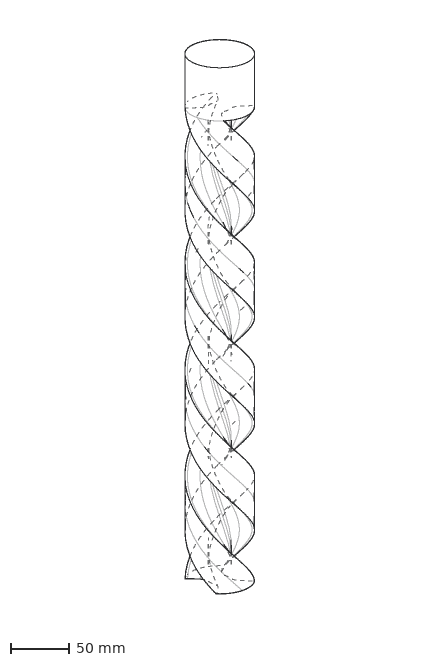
import math

import cadquery as cq

diameter = 60.0
shank_length = 50.0
helix_pitch = 200.0
twist_angle = 800.0
core_radius = 10.0
flute_fillet = 9.3
wall_angle = 45.0
lip_radius = 27.8
lip_overhang = 0.7

outer_radius = diameter / 2
flute_length = helix_pitch * twist_angle / 360
lip_angle = wall_angle + math.degrees(math.asin(lip_overhang / outer_radius))

fillet_centre_radius = core_radius + flute_fillet
wall_radius = math.sqrt(fillet_centre_radius**2 - flute_fillet**2)
core_angle = wall_angle + math.degrees(math.asin(flute_fillet / fillet_centre_radius))


def polar(radius, angle):
    """Point at the given radius and angle (degrees from +X)."""
    angle_rad = math.radians(angle)
    return (radius * math.cos(angle_rad), radius * math.sin(angle_rad))


def fillet_middle_point():
    """Middle of the fillet arc of the flute wall in the first quadrant."""
    centre_x, centre_y = polar(fillet_centre_radius, core_angle)
    toward_wall = wall_angle - 90
    toward_core = core_angle - 180
    offset_x, offset_y = polar(flute_fillet, (toward_wall + toward_core) / 2)
    return (centre_x + offset_x, centre_y + offset_y)


def mirror(points, sign_x, sign_y):
    """First-quadrant points moved into the quadrant given by the two signs."""
    return [(sign_x * x, sign_y * y) for x, y in points]


quadrant_points = [
    polar(outer_radius, 0),
    polar(outer_radius, lip_angle / 2),
    polar(outer_radius, lip_angle),
    polar(lip_radius, wall_angle),
    polar(wall_radius, wall_angle),
    fillet_middle_point(),
    polar(core_radius, core_angle),
    polar(core_radius, (core_angle + 90) / 2),
    polar(core_radius, 90),
]


def add_land_to_flute(outline, points):
    """Continue the outline from the middle of a land to the bottom of the next flute."""
    _, land_middle, lip_tip, lip_root, wall_end, fillet_middle, core_start, core_middle, flute_bottom = points
    return (
        outline.threePointArc(land_middle, lip_tip)
        .lineTo(*lip_root)
        .lineTo(*wall_end)
        .threePointArc(fillet_middle, core_start)
        .threePointArc(core_middle, flute_bottom)
    )


def add_flute_to_land(outline, points):
    """Continue the outline from the bottom of a flute to the middle of the next land."""
    land_start, land_middle, lip_tip, lip_root, wall_end, fillet_middle, core_start, core_middle, _ = points
    return (
        outline.threePointArc(core_middle, core_start)
        .threePointArc(fillet_middle, wall_end)
        .lineTo(*lip_root)
        .lineTo(*lip_tip)
        .threePointArc(land_middle, land_start)
    )


def cross_section():
    """Closed outline with two lands on the X axis and two flutes on the Y axis."""
    outline = cq.Workplane("XY").moveTo(*quadrant_points[0])
    for sign in (1, -1):
        outline = add_land_to_flute(outline, mirror(quadrant_points, sign, sign))
        outline = add_flute_to_land(outline, mirror(quadrant_points, -sign, sign))
    return outline.close()


def fluted_body():
    """Cross-section twisted upwards as a left-hand helix."""
    return cross_section().twistExtrude(flute_length, -twist_angle)


def shank():
    """Plain cylinder on top of the fluted body."""
    return cq.Workplane("XY").workplane(offset=flute_length).circle(outer_radius).extrude(shank_length)


result = fluted_body().union(shank())